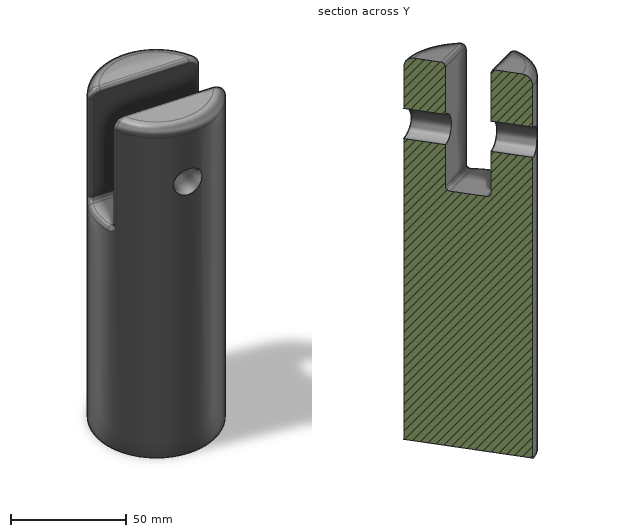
import cadquery as cq

rod_diameter = 60.0
rod_length = 180.0
top_edge_radius = 5.0

slot_width = 21.0
slot_depth = 60.0
slot_edge_radius = 2.0

pin_hole_diameter = 14.0
pin_hole_drop = 31.5

pick_margin = 0.1

slot_floor_z = rod_length - slot_depth
pin_hole_z = rod_length - pin_hole_drop


def make_rod():
    """Solid cylinder with a rounded top rim."""
    rod = cq.Workplane("XY").circle(rod_diameter / 2).extrude(rod_length)
    return rod.faces(">Z").edges().fillet(top_edge_radius)


def make_slot_cutter():
    """Block filling the slot, open at the top and at both Y ends."""
    floor_plane = cq.Workplane("XY").workplane(offset=slot_floor_z)
    return floor_plane.rect(slot_width, rod_diameter).extrude(slot_depth)


def round_slot_edges(body):
    """Round every edge of the slot walls and floor, inside corners included."""
    half_width = slot_width / 2 + pick_margin
    slot_region = cq.selectors.BoxSelector(
        (-half_width, -rod_diameter / 2, slot_floor_z - pick_margin),
        (half_width, rod_diameter / 2, rod_length - pick_margin),
    )
    return body.faces(slot_region).edges().fillet(slot_edge_radius)


def make_pin_hole_cutter():
    """Cylinder along X that crosses the whole rod."""
    hole = cq.Workplane("YZ").center(0, pin_hole_z).circle(pin_hole_diameter / 2)
    return hole.extrude(rod_diameter / 2, both=True)


slotted_rod = make_rod().cut(make_slot_cutter())
result = round_slot_edges(slotted_rod).cut(make_pin_hole_cutter())